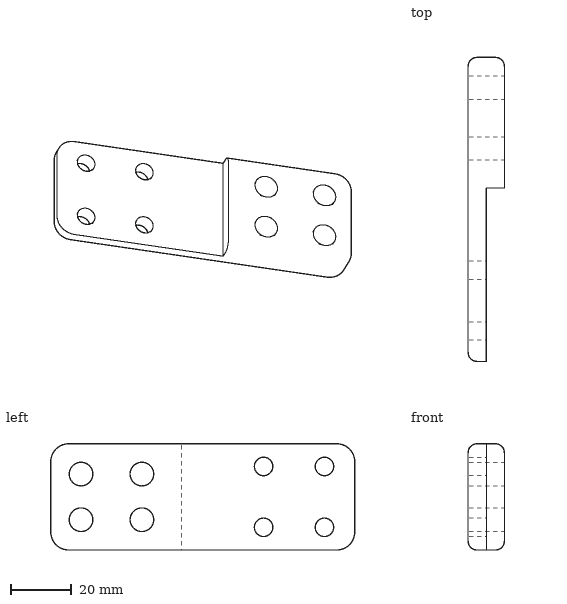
import cadquery as cq

length = 100.0
height = 35.0
thin = 6.0
thick = 12.0
thick_length = 43.0
corner_radius = 6.0
edge_radius = 3.0

hole_pitch_y = 20.0
end_distance = 10.0
large_diameter = 7.7
large_pitch_z = 15.0
small_diameter = 6.0
small_pitch_z = 20.0


def rounded_body():
    """Full-thickness block with rounded corners and rounded rims on both faces."""
    block = cq.Workplane("YZ").rect(length, height).extrude(thick)
    block = block.edges("|X").fillet(corner_radius)
    return block.faces("<X or >X").edges().fillet(edge_radius)


def step_cut():
    """Material removed to leave only the thin section towards -Y."""
    cut_length = length - thick_length
    return (
        cq.Workplane("XY")
        .box(thick - thin, cut_length, height, centered=(False, False, True))
        .translate((thin, -length / 2, 0))
    )


def hole_group(center_y, pitch_z, diameter):
    """Two-by-two group of through holes along X."""
    return (
        cq.Workplane("YZ")
        .center(center_y, 0)
        .rect(hole_pitch_y, pitch_z, forConstruction=True)
        .vertices()
        .circle(diameter / 2)
        .extrude(thick)
    )


group_center_y = length / 2 - end_distance - hole_pitch_y / 2

result = (
    rounded_body()
    .cut(step_cut())
    .cut(hole_group(group_center_y, large_pitch_z, large_diameter))
    .cut(hole_group(-group_center_y, small_pitch_z, small_diameter))
)